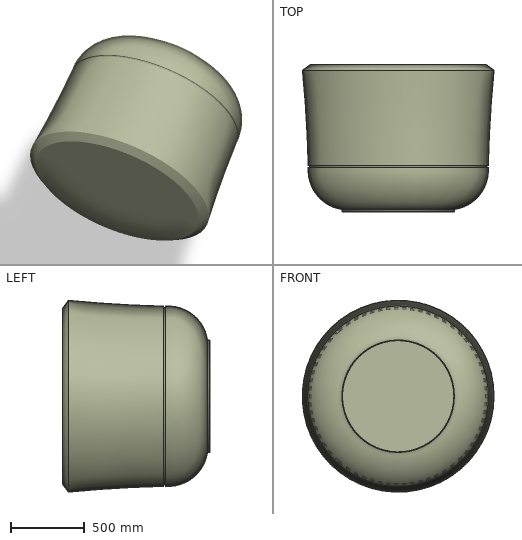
import cadquery as cq

length = 1000.0
rim_radius = 649.0
back_radius = 591.0
back_bevel = 42.0
joint_radius = 610.0
joint_y = 302.0
groove_width = 13.0
groove_depth = 9.0
foot_radius = 380.0
foot_height = 18.0
foot_bevel = 4.0

rim_y = length - back_bevel
groove_end_y = joint_y + groove_width
groove_radius = joint_radius - groove_depth

wall_mid = (617.0, 532.0)
bowl_mid = (542.0, 106.0)

profile = (
    cq.Workplane("XY")
    .moveTo(0, 0)
    .lineTo(foot_radius - foot_bevel, 0)
    .lineTo(foot_radius, foot_bevel)
    .lineTo(foot_radius, foot_height)
    .threePointArc(bowl_mid, (joint_radius, joint_y))
    .lineTo(groove_radius, joint_y)
    .lineTo(groove_radius, groove_end_y)
    .lineTo(joint_radius, groove_end_y)
    .threePointArc(wall_mid, (rim_radius, rim_y))
    .lineTo(back_radius, length)
    .lineTo(0, length)
    .close()
)
result = profile.revolve(360, (0, 0), (0, 1)).translate((0, -length / 2, 0))